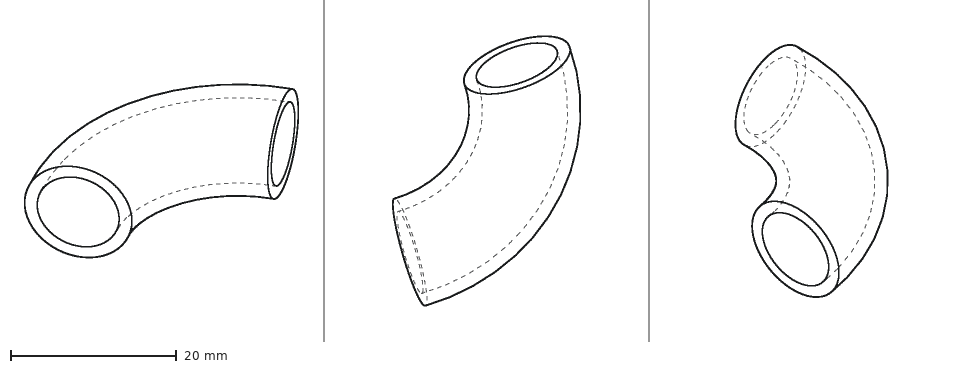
import cadquery as cq

outer_diameter = 13.5
wall_thickness = 1.6
bend_radius = 20.0
bend_angle = 90.0

inner_diameter = outer_diameter - 2 * wall_thickness


def make_elbow():
    """Turn the ring section from the open end facing -Y to the open end facing +X."""
    section = (
        cq.Workplane("XZ")
        .center(-bend_radius, 0)
        .circle(outer_diameter / 2)
        .circle(inner_diameter / 2)
    )
    axis_start = (bend_radius, 0)
    axis_end = (bend_radius, -1)
    return section.revolve(bend_angle, axis_start, axis_end)


result = make_elbow()